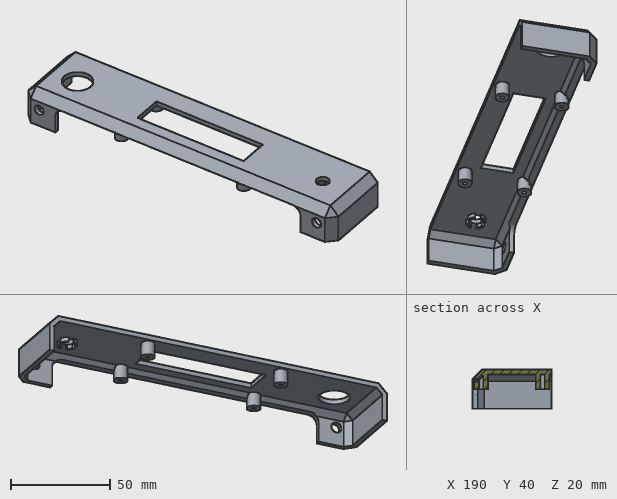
import cadquery as cq
import math

length = 190.0
depth = 40.0
height = 20.0
chamfer = 5.0
wall = 2.7
mid_y = 20.0

inner_chamfer = chamfer - wall * (2 - math.sqrt(2))
inner_chamfer_drop = wall + inner_chamfer

tab_length = 20.0
tab_fillet = 5.0
opening_depth = 5.0
screw_hole_diameter = 5.5
screw_hole_inset = 10.0
screw_hole_drop = 10.0

large_hole_diameter = 16.0
hole_inset = 20.0
window_length = 65.0
window_width = 17.0

small_hole_diameter = 7.0
collar_bore = 7.6
collar_diameter = 10.0
collar_slot = 3.0
collar_drop = chamfer

boss_diameter = 7.0
boss_pilot_diameter = 2.0
boss_drop = 10.0
boss_pitch_x = 74.9
boss_pitch_y = 31.0

small_hole_x = length - hole_inset
boss_centres = [
    (length / 2 + side_x * boss_pitch_x / 2, mid_y + side_y * boss_pitch_y / 2)
    for side_x in (-1, 1)
    for side_y in (-1, 1)
]


def box_between(low, high):
    """Axis-aligned box from its lowest corner to its highest corner."""
    size = [b - a for a, b in zip(low, high)]
    return cq.Workplane("XY").box(*size, centered=False).translate(low)


def vertical_cylinder(x, y, diameter, bottom, top):
    """Cylinder along Z between two heights."""
    return cq.Workplane("XY", origin=(x, y, bottom)).circle(diameter / 2).extrude(top - bottom)


def chamfered_block(inset, chamfer_size):
    """Block inset from the outer faces, chamfered around its top and at its front corners."""
    block = box_between((inset, inset, -height), (length - inset, depth, -inset))
    return block.edges("(>Z and (<X or >X or <Y)) or (|Z and <Y)").chamfer(chamfer_size)


def make_front_opening():
    """Gap between the two front tabs, rounded at its upper corners."""
    gap = box_between((tab_length, 0, -height), (length - tab_length, opening_depth, -chamfer))
    return gap.edges("|Y and >Z").fillet(tab_fillet)


def make_screw_holes():
    """Holes through the two front tabs."""
    centres = [(screw_hole_inset, -screw_hole_drop), (length - screw_hole_inset, -screw_hole_drop)]
    return cq.Workplane("XZ").pushPoints(centres).circle(screw_hole_diameter / 2).extrude(-wall)


def make_collar():
    """Ring below the small hole, split by slots along X and Y."""
    ring = vertical_cylinder(small_hole_x, mid_y, collar_diameter, -collar_drop, -wall)
    ring = ring.cut(vertical_cylinder(small_hole_x, mid_y, collar_bore, -collar_drop, -wall))
    for size_x, size_y in ((collar_diameter, collar_slot), (collar_slot, collar_diameter)):
        slot = box_between(
            (small_hole_x - size_x / 2, mid_y - size_y / 2, -collar_drop),
            (small_hole_x + size_x / 2, mid_y + size_y / 2, -wall),
        )
        ring = ring.cut(slot)
    return ring


def make_window():
    """Rectangular opening through the top plate."""
    return box_between(
        ((length - window_length) / 2, mid_y - window_width / 2, -wall),
        ((length + window_length) / 2, mid_y + window_width / 2, 0),
    )


def make_boss(x, y):
    """Boss with a blind pilot hole; its upper front is cut back to stay inside the front chamfer."""
    boss = vertical_cylinder(x, y, boss_diameter, -boss_drop, -wall)
    pilot = vertical_cylinder(x, y, boss_pilot_diameter, -boss_drop, -wall)
    relief = box_between((0, 0, -inner_chamfer_drop), (length, wall, 0))
    return boss.cut(pilot).cut(relief)


result = chamfered_block(0, chamfer).cut(chamfered_block(wall, inner_chamfer))
result = result.cut(make_front_opening()).cut(make_screw_holes()).cut(make_window())
result = result.cut(vertical_cylinder(hole_inset, mid_y, large_hole_diameter, -wall, 0))
result = result.cut(vertical_cylinder(small_hole_x, mid_y, small_hole_diameter, -wall, 0))

result = result.union(make_collar())
for boss_x, boss_y in boss_centres:
    result = result.union(make_boss(boss_x, boss_y))